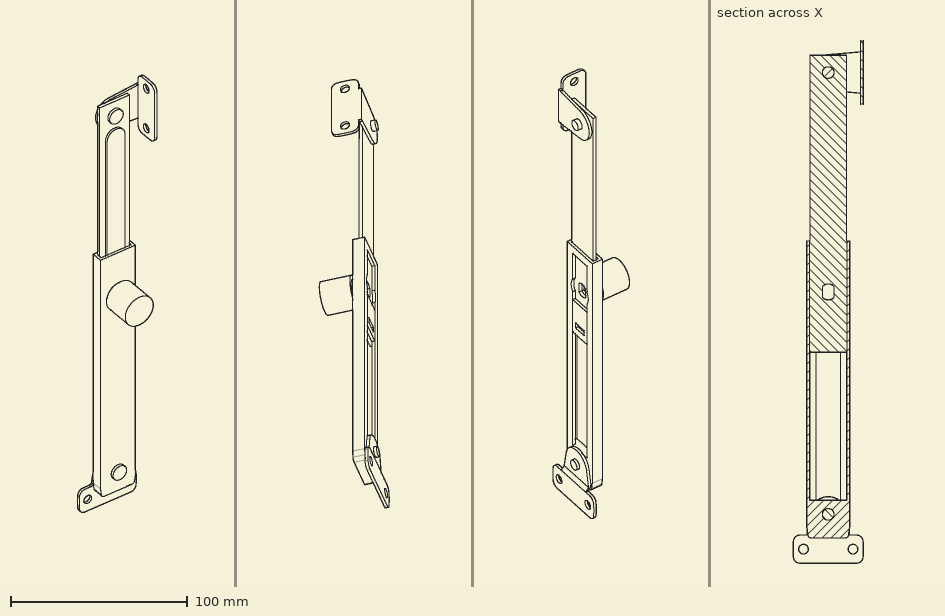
import cadquery as cq
import math

sheet = 1.8
pivot_gap = 0.5
lower_pivot_z = 27.7
upper_pivot_z = 278.0

plate_length = 39.0
plate_width = 16.0
plate_end_bulge = 0.45
plate_corner = 4.0
screw_hole = 5.5
screw_spacing = 28.0

ear_radius = 10.0
ear_base_half = 12.0
joggle_offset = 2.0
joggle_height = 2.5

channel_width = 24.5
channel_depth = 7.2
channel_bottom_z = 14.3
channel_top_z = 182.7
channel_taper_height = 4.2
channel_taper_inset = 0.5
channel_corner = 2.0
wall = 1.8
window_width = 13.7
window_bottom_z = 35.8
window_top_z = 177.3
entry_diameter = 16.7

strip_width = 21.0
back_strip_thickness = 2.0
front_strip_thickness = channel_depth - 2 * wall - back_strip_thickness
strip_bottom_z = 119.5
back_strip_top_z = 288.0
front_strip_top_z = 269.0
front_strip_width = 12.5
slot_width = 6.3
slot_length = 9.0

block_top_z = 143.3
block_hole_width = 8.3
block_hole_height = 3.5
block_hole_z = 126.0

rivet_diameter = 6.3
rivet_head_diameter = 9.5
rivet_head_height = 1.8
lower_rivet_tail = 1.8
upper_rivet_tail = 2.7

knob_z = 153.8
knob_diameter = 19.7
knob_end_x = 27.7
neck_diameter = 14.5
neck_length = 2.5

back_strip_x = wall
front_strip_x = back_strip_x + back_strip_thickness
lower_ear_x = -pivot_gap - sheet
lower_plate_x = lower_ear_x - joggle_offset
upper_ear_x = back_strip_x - pivot_gap - sheet


def box(x_range, y_range, z_range):
    """Block filling the given ranges."""
    (x0, x1), (y0, y1), (z0, z1) = x_range, y_range, z_range
    return cq.Workplane("XY").box(x1 - x0, y1 - y0, z1 - z0, centered=False).translate((x0, y0, z0))


def x_cylinder(diameter, x0, x1, z):
    """Cylinder along X on the centre plane."""
    return cq.Workplane("YZ", origin=(x0, 0, z)).circle(diameter / 2).extrude(x1 - x0)


def mounting_plate():
    """Screw plate in the local XY plane, long side along X, centred on the origin."""
    half_length = plate_length / 2
    half_width = plate_width / 2
    tip = half_length + plate_end_bulge
    return (
        cq.Workplane("XY")
        .moveTo(-half_length, -half_width)
        .lineTo(half_length, -half_width)
        .threePointArc((tip, 0), (half_length, half_width))
        .lineTo(-half_length, half_width)
        .threePointArc((-tip, 0), (-half_length, -half_width))
        .close()
        .extrude(sheet)
        .edges("|Z").fillet(plate_corner)
        .faces(">Z").workplane(origin=(0, 0, 0))
        .pushPoints([(-screw_spacing / 2, 0), (screw_spacing / 2, 0)])
        .hole(screw_hole)
    )


def ear(base_distance):
    """Tapered ear in the local XY plane: round about the origin, base on the line Y = -base_distance."""
    corner_distance = math.hypot(ear_base_half, base_distance)
    tangent_angle = math.acos(ear_radius / corner_distance) - math.atan2(base_distance, ear_base_half)
    tangent_x = ear_radius * math.cos(tangent_angle)
    tangent_y = ear_radius * math.sin(tangent_angle)
    return (
        cq.Workplane("XY")
        .moveTo(-ear_base_half, -base_distance)
        .lineTo(ear_base_half, -base_distance)
        .lineTo(tangent_x, tangent_y)
        .threePointArc((0, ear_radius), (-tangent_x, tangent_y))
        .close()
        .extrude(sheet)
        .faces(">Z").workplane(origin=(0, 0, 0))
        .hole(rivet_diameter)
    )


def make_lower_bracket():
    joggle_top_z = plate_width + joggle_height
    plate = (
        mounting_plate()
        .rotate((0, 0, 0), (1, 0, 0), 90)
        .rotate((0, 0, 0), (0, 0, 1), 90)
        .translate((lower_plate_x, 0, plate_width / 2))
    )
    upright = (
        ear(lower_pivot_z - joggle_top_z)
        .rotate((0, 0, 0), (1, 0, 0), 90)
        .rotate((0, 0, 0), (0, 0, 1), 90)
        .translate((lower_ear_x, 0, lower_pivot_z))
    )
    web = (
        cq.Workplane("XZ", origin=(0, ear_base_half, 0))
        .polyline([
            (lower_plate_x, plate_width),
            (lower_ear_x, joggle_top_z),
            (lower_ear_x + sheet, joggle_top_z),
            (lower_plate_x + sheet, plate_width),
        ])
        .close()
        .extrude(2 * ear_base_half)
    )
    return plate.union(web).union(upright)


def make_upper_bracket():
    outer_y = plate_length / 2 + plate_end_bulge
    plate_x = upper_ear_x + sheet
    plate = (
        mounting_plate()
        .rotate((0, 0, 0), (0, 1, 0), 90)
        .rotate((0, 0, 0), (0, 0, 1), 90)
        .translate((plate_x + plate_width / 2, outer_y - sheet, upper_pivot_z))
    )
    arm = (
        ear(outer_y)
        .rotate((0, 0, 0), (0, 0, 1), 180)
        .rotate((0, 0, 0), (0, 1, 0), -90)
        .translate((plate_x, 0, upper_pivot_z))
    )
    bend = box(
        (upper_ear_x, plate_x + plate_corner),
        (outer_y - sheet, outer_y),
        (upper_pivot_z - ear_base_half, upper_pivot_z + ear_base_half),
    )
    return plate.union(arm).union(bend)


def make_channel():
    half_width = channel_width / 2
    foot_half = half_width - channel_taper_inset
    taper_bottom_z = channel_bottom_z + channel_corner
    taper_top_z = taper_bottom_z + channel_taper_height
    bottom_half = foot_half - channel_corner
    body = (
        cq.Workplane("YZ")
        .moveTo(-half_width, channel_top_z)
        .lineTo(-half_width, taper_top_z)
        .lineTo(-foot_half, taper_bottom_z)
        .radiusArc((-bottom_half, channel_bottom_z), -channel_corner)
        .lineTo(bottom_half, channel_bottom_z)
        .radiusArc((foot_half, taper_bottom_z), -channel_corner)
        .lineTo(half_width, taper_top_z)
        .lineTo(half_width, channel_top_z)
        .close()
        .extrude(channel_depth)
    )
    cavity = box(
        (wall, channel_depth - wall),
        (-strip_width / 2, strip_width / 2),
        (window_bottom_z, channel_top_z),
    )
    window = box((0, wall), (-window_width / 2, window_width / 2), (window_bottom_z, window_top_z))
    entry = x_cylinder(entry_diameter, 0, wall, knob_z)
    rivet_hole = x_cylinder(rivet_diameter, 0, channel_depth, lower_pivot_z)
    return body.cut(cavity).cut(window).cut(entry).cut(rivet_hole)


def strip(x, thickness, width, top_z):
    """Plain flat strip that slides in the channel."""
    return box((x, x + thickness), (-width / 2, width / 2), (strip_bottom_z, top_z))


def lock_slot():
    """Round hole with two upright flats on the knob axis, cutting both strips."""
    end_x = front_strip_x + front_strip_thickness
    flats = box(
        (back_strip_x, end_x),
        (-slot_width / 2, slot_width / 2),
        (knob_z - slot_length / 2, knob_z + slot_length / 2),
    )
    return x_cylinder(slot_length, back_strip_x, end_x, knob_z).intersect(flats)


def make_back_strip():
    rivet_hole = x_cylinder(rivet_diameter, back_strip_x, front_strip_x, upper_pivot_z)
    flat = strip(back_strip_x, back_strip_thickness, strip_width, back_strip_top_z)
    return flat.cut(lock_slot()).cut(rivet_hole)


def make_front_strip():
    round_z = front_strip_top_z - front_strip_width / 2
    flat = strip(front_strip_x, front_strip_thickness, front_strip_width, round_z)
    end_x = front_strip_x + front_strip_thickness
    round_end = x_cylinder(front_strip_width, front_strip_x, end_x, round_z)
    return flat.union(round_end).cut(lock_slot())


def make_slide_block():
    half_width = window_width / 2
    half_hole = block_hole_width / 2
    block = box((0, wall), (-half_width, half_width), (strip_bottom_z, block_top_z))
    hole = box(
        (0, wall),
        (-half_hole, half_hole),
        (block_hole_z - block_hole_height / 2, block_hole_z + block_hole_height / 2),
    )
    return block.cut(hole)


def make_rivet(tail_x, seat_x, z):
    """Plain shank from tail_x to the face at seat_x, with a flat head on that face."""
    shank = x_cylinder(rivet_diameter, tail_x, seat_x, z)
    head = x_cylinder(rivet_head_diameter, seat_x, seat_x + rivet_head_height, z)
    return shank.union(head)


def make_knob():
    grip_x = channel_depth + neck_length
    neck = x_cylinder(neck_diameter, channel_depth, grip_x, knob_z)
    grip = x_cylinder(knob_diameter, grip_x, knob_end_x, knob_z)
    return neck.union(grip)


lower_bracket = make_lower_bracket()
upper_bracket = make_upper_bracket()
channel = make_channel()
back_strip = make_back_strip()
front_strip = make_front_strip()
slide_block = make_slide_block()
knob = make_knob()
rivets = [
    make_rivet(lower_ear_x - lower_rivet_tail, channel_depth, lower_pivot_z),
    make_rivet(upper_ear_x - upper_rivet_tail, front_strip_x, upper_pivot_z),
]

result = cq.Compound.makeCompound([
    lower_bracket.val(),
    upper_bracket.val(),
    channel.val(),
    back_strip.val(),
    front_strip.val(),
    slide_block.val(),
    knob.val(),
    *[rivet.val() for rivet in rivets],
])